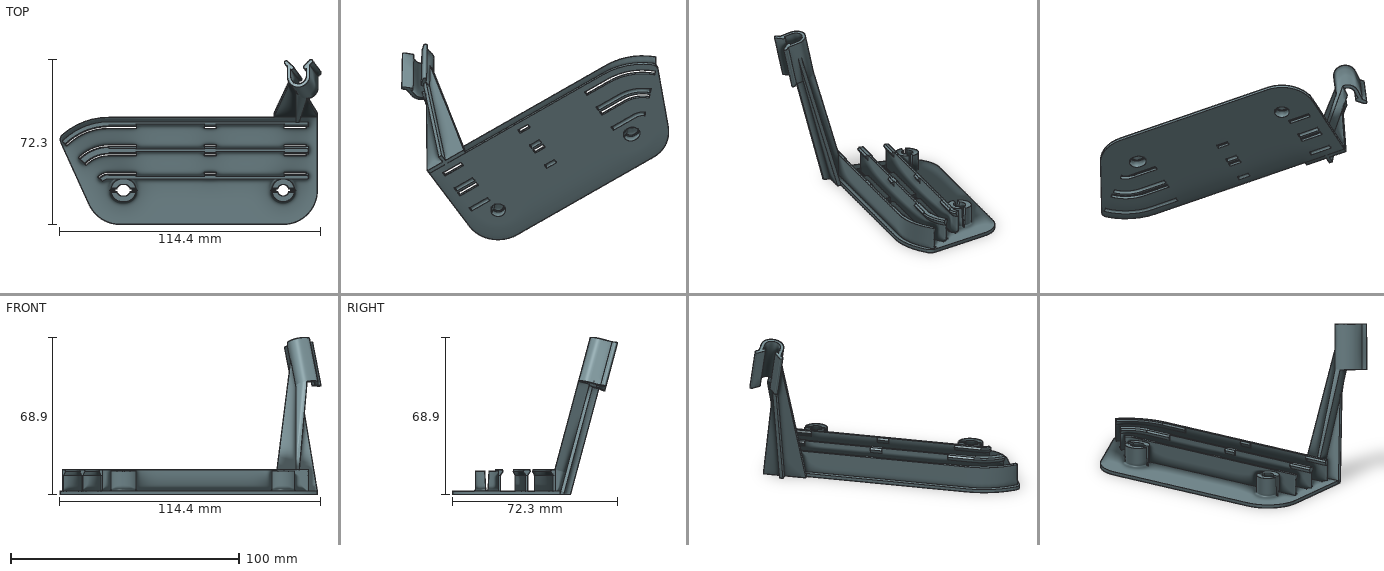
import cadquery as cq
import math

PLATE_THICKNESS = 1.5
PLATE_TOP_Y = 32.0
CORNER_RADIUS = 15.0
LEFT_CORNER_X = -1.5
RIGHT_CORNER_X = 70.0
LEFT_EDGE_ANGLE = 65.5
TIP_RADIUS = 3.0
PLATE_RIGHT_X = RIGHT_CORNER_X + CORNER_RADIUS

WALL_TOP_Z = 11.0
WALL_THICKNESS = 1.0
WALL_OUTER_Y = (30.0, 18.0, 6.0)
WALL_LIP_SIDES = ((-1,), (-1, 1), (1,))
WALL_END_X = 81.0
WALL_END_ROUND = 0.4
BEND_CENTRE = (-6.4, 1.0)
BEND_ANGLE = 45.0

LIP_REACH = 1.1
LIP_BOTTOM_Z = 8.5
LIP_EDGE_Z = 10.2
LIP_TOP_REACH = 0.4
BEND_LIP_TOP_REACH = 0.8
LIP_MIDDLE_X = 38.0
LIP_MIDDLE_LENGTH = 5.2
LIP_END_GAP = 32.4
OPENING_REACH = 1.85
OPENING_END_X = 80.0

BOSS_SPACING = 70.0
BOSS_RADIUS = 5.0
BOSS_TOP_Z = 10.3
BOSS_FILLET = 1.0
BORE_RADIUS = 2.5
COUNTERBORE_RADIUS = 3.2
COUNTERBORE_DEPTH = 4.0
LEFT_BOSS_STRETCH = 1.0
NOTCH_TOP_WIDTH = 1.8
NOTCH_BOTTOM_WIDTH = 0.9
NOTCH_FLOOR_Z = 1.6

LEAN = math.radians(15.0)
BLADE_THICKNESS = 1.6
BLADE_LEFT_X = 66.0
BLADE_TAPER_START = 1.5
BLADE_TOP = 64.0
BLADE_TOP_LEFT_X = 73.6
BLADE_RIGHT_TOP_X = 77.2
RIB_LEFT_X = 75.5
RIB_THICKNESS = 1.5
BACK_RIB_DEPTH = 4.5
RIB_BLEND_START = 10.0

CLIP_TILT = math.radians(10.7)
CLIP_RADIUS = 5.0
CLIP_WALL = 1.5
CLIP_BASE = 50.1
CLIP_LENGTH = 20.0
CLIP_SIDE_HEIGHT = 5.0
LIP_BAR_THICKNESS = 1.6
LIP_BAR_OFFSET = 0.65
LIP_BAR_INNER = 4.1
LIP_BAR_OUTER = 9.25

RIB_RIGHT_X = RIB_LEFT_X + RIB_THICKNESS
CLIP_BASE_X = RIB_LEFT_X + CLIP_RADIUS * math.cos(CLIP_TILT)
OUTER_LIP_START_X = LIP_MIDDLE_X + LIP_END_GAP
LEFT_LIP_END_X = LIP_MIDDLE_X - LIP_END_GAP
MIDDLE_LIP_START_X = LIP_MIDDLE_X - LIP_MIDDLE_LENGTH / 2


def polar(centre, radius, degrees):
    angle = math.radians(degrees)
    return (centre[0] + radius * math.cos(angle), centre[1] + radius * math.sin(angle))


def post_point(x, height, forward=0.0):
    """Point at a height up the leaning blade and a distance in front of its front face."""
    y = PLATE_TOP_Y + height * math.sin(LEAN) - forward * math.cos(LEAN)
    z = height * math.cos(LEAN) + forward * math.sin(LEAN)
    return (x, y, z)


def plate():
    top_radius = PLATE_TOP_Y - BEND_CENTRE[1]
    slope = math.radians(LEFT_EDGE_ANGLE)
    corner = (LEFT_CORNER_X, 0.0)
    edge_normal = 270.0 - LEFT_EDGE_ANGLE
    edge_start = polar(corner, CORNER_RADIUS, edge_normal)
    corner_middle = polar(corner, CORNER_RADIUS, (edge_normal + 270.0) / 2)
    direction = (-math.cos(slope), math.sin(slope))
    to_start = (edge_start[0] - BEND_CENTRE[0], edge_start[1] - BEND_CENTRE[1])
    along = to_start[0] * direction[0] + to_start[1] * direction[1]
    distance_squared = to_start[0] ** 2 + to_start[1] ** 2
    length = -along + math.sqrt(along ** 2 - distance_squared + top_radius ** 2)
    tip = (edge_start[0] + length * direction[0], edge_start[1] + length * direction[1])
    tip_angle = math.degrees(math.atan2(tip[1] - BEND_CENTRE[1], tip[0] - BEND_CENTRE[0]))
    right_corner = (RIGHT_CORNER_X, 0.0)
    outline = (
        cq.Workplane("XY")
        .moveTo(LEFT_CORNER_X, -CORNER_RADIUS)
        .lineTo(RIGHT_CORNER_X, -CORNER_RADIUS)
        .threePointArc(polar(right_corner, CORNER_RADIUS, -45.0), (PLATE_RIGHT_X, 0.0))
        .lineTo(PLATE_RIGHT_X, PLATE_TOP_Y)
        .lineTo(BEND_CENTRE[0], PLATE_TOP_Y)
        .threePointArc(polar(BEND_CENTRE, top_radius, (90.0 + tip_angle) / 2), tip)
        .lineTo(*edge_start)
        .threePointArc(corner_middle, (LEFT_CORNER_X, -CORNER_RADIUS))
        .close()
    )
    body = outline.extrude(PLATE_THICKNESS)
    near_tip = cq.selectors.NearestToPointSelector((tip[0], tip[1], PLATE_THICKNESS / 2))
    return body.edges("|Z").edges(near_tip).fillet(TIP_RADIUS)


def bent_strip(y_low, y_high, end_x, height):
    """Strip on the ground between two Y values: straight, then bent forward round BEND_CENTRE."""
    inner = y_low - BEND_CENTRE[1]
    outer = y_high - BEND_CENTRE[1]
    end_angle = 90.0 + BEND_ANGLE
    mid_angle = 90.0 + BEND_ANGLE / 2
    return (
        cq.Workplane("XY")
        .moveTo(end_x, y_low)
        .lineTo(end_x, y_high)
        .lineTo(BEND_CENTRE[0], y_high)
        .threePointArc(polar(BEND_CENTRE, outer, mid_angle), polar(BEND_CENTRE, outer, end_angle))
        .lineTo(*polar(BEND_CENTRE, inner, end_angle))
        .threePointArc(polar(BEND_CENTRE, inner, mid_angle), (BEND_CENTRE[0], y_low))
        .close()
        .extrude(height)
    )


def wall(outer_y):
    strip = bent_strip(outer_y - WALL_THICKNESS, outer_y, WALL_END_X, WALL_TOP_Z)
    return strip.edges("|Z").edges("<X or >X").fillet(WALL_END_ROUND)


def lip_profile(face_y, side, x, top_reach=LIP_TOP_REACH):
    """Section of a lip, starting in the middle of the wall it grows from."""
    root_y = face_y - side * WALL_THICKNESS / 2
    return (
        cq.Workplane("YZ", origin=(x, 0, 0))
        .moveTo(root_y, LIP_BOTTOM_Z)
        .lineTo(face_y, LIP_BOTTOM_Z)
        .lineTo(face_y + side * LIP_REACH, LIP_EDGE_Z)
        .lineTo(face_y + side * top_reach, WALL_TOP_Z)
        .lineTo(root_y, WALL_TOP_Z)
        .close()
    )


def lips(face_y, side):
    left = lip_profile(face_y, side, BEND_CENTRE[0]).extrude(LEFT_LIP_END_X - BEND_CENTRE[0])
    bend = lip_profile(face_y, side, BEND_CENTRE[0], BEND_LIP_TOP_REACH).revolve(
        BEND_ANGLE, (BEND_CENTRE[1], 0, 0), (BEND_CENTRE[1], 1, 0)
    )
    middle = lip_profile(face_y, side, MIDDLE_LIP_START_X).extrude(LIP_MIDDLE_LENGTH)
    right = lip_profile(face_y, side, OUTER_LIP_START_X).extrude(WALL_END_X - OUTER_LIP_START_X)
    return left.union(bend).union(middle).union(right)


def openings(face_y, side):
    """Openings through the plate below the lips on one side of a wall."""
    far_y = face_y + side * OPENING_REACH
    y_low = min(face_y, far_y)
    y_high = max(face_y, far_y)
    cutter = bent_strip(y_low, y_high, LEFT_LIP_END_X, PLATE_THICKNESS)
    spans = (
        (MIDDLE_LIP_START_X, MIDDLE_LIP_START_X + LIP_MIDDLE_LENGTH),
        (OUTER_LIP_START_X, OPENING_END_X),
    )
    for start, end in spans:
        block = cq.Workplane("XY").box(
            end - start, OPENING_REACH, PLATE_THICKNESS, centered=False
        )
        cutter = cutter.union(block.translate((start, y_low, 0)))
    return cutter


def round_section(x, stretch, radius):
    """Circle on the boss axis, pulled apart into a slot along X by the stretch."""
    plane = cq.Workplane("XY", origin=(x, 0, 0))
    if stretch > 0:
        return plane.slot2D(2 * radius + stretch, 2 * radius)
    return plane.circle(radius)


def boss(x, stretch):
    body = round_section(x, stretch, BOSS_RADIUS).extrude(BOSS_TOP_Z)
    foot = round_section(x, stretch, BOSS_RADIUS + 2 * BOSS_FILLET).extrude(PLATE_THICKNESS)
    reach = BOSS_RADIUS + BOSS_FILLET
    joint = cq.selectors.BoxSelector(
        (x - reach - stretch, -reach, PLATE_THICKNESS / 2),
        (x + reach + stretch, reach, BOSS_TOP_Z / 2),
        boundingbox=True,
    )
    return foot.union(body).edges(joint).fillet(BOSS_FILLET)


def boss_cutter(x, stretch):
    """Stepped bore, and a tapered notch across the boss with a V-shaped floor."""
    bore = round_section(x, stretch, BORE_RADIUS).extrude(BOSS_TOP_Z)
    counterbore = round_section(x, stretch, COUNTERBORE_RADIUS).extrude(COUNTERBORE_DEPTH)
    half_length = BOSS_RADIUS + BOSS_FILLET + stretch
    floor_half_width = NOTCH_BOTTOM_WIDTH / 2
    floor_edge_z = NOTCH_FLOOR_Z + floor_half_width
    notch = (
        cq.Workplane("YZ", origin=(x - half_length, 0, 0))
        .moveTo(0, NOTCH_FLOOR_Z)
        .lineTo(floor_half_width, floor_edge_z)
        .lineTo(NOTCH_TOP_WIDTH / 2, BOSS_TOP_Z)
        .lineTo(-NOTCH_TOP_WIDTH / 2, BOSS_TOP_Z)
        .lineTo(-floor_half_width, floor_edge_z)
        .close()
        .extrude(2 * half_length)
    )
    return bore.union(counterbore).union(notch)


CLIP_PLANE = cq.Plane(
    origin=post_point(CLIP_BASE_X, CLIP_BASE),
    xDir=(
        math.cos(CLIP_TILT),
        math.sin(CLIP_TILT) * math.sin(LEAN),
        math.sin(CLIP_TILT) * math.cos(LEAN),
    ),
    normal=(
        -math.sin(CLIP_TILT),
        math.cos(CLIP_TILT) * math.sin(LEAN),
        math.cos(CLIP_TILT) * math.cos(LEAN),
    ),
)


def u_shape(radius, height):
    """Half disc towards the front with straight sides running back."""
    return (
        cq.Workplane(CLIP_PLANE)
        .moveTo(-radius, height)
        .lineTo(-radius, 0)
        .threePointArc((0, -radius), (radius, 0))
        .lineTo(radius, height)
        .close()
        .extrude(CLIP_LENGTH)
    )


def clip_bore():
    return u_shape(CLIP_RADIUS - CLIP_WALL, 2 * CLIP_RADIUS)


def clip():
    shell = u_shape(CLIP_RADIUS, CLIP_SIDE_HEIGHT).cut(clip_bore())
    bar_length = LIP_BAR_OUTER - LIP_BAR_INNER
    for side in (-1, 1):
        bar = (
            cq.Workplane(CLIP_PLANE)
            .transformed(rotate=(0, 0, 90 - side * 45))
            .center(LIP_BAR_INNER + bar_length / 2, side * LIP_BAR_OFFSET)
            .slot2D(bar_length, LIP_BAR_THICKNESS)
            .extrude(CLIP_LENGTH)
        )
        shell = shell.union(bar)
    return shell


def blade():
    front = cq.Plane(
        origin=post_point(0, 0), xDir=(1, 0, 0), normal=(0, -math.cos(LEAN), math.sin(LEAN))
    )
    inner_left_x = BLADE_TOP_LEFT_X + CLIP_WALL
    outline = [
        (BLADE_LEFT_X, -BLADE_TAPER_START),
        (BLADE_LEFT_X, BLADE_TAPER_START),
        (BLADE_TOP_LEFT_X, BLADE_TOP),
        (inner_left_x, BLADE_TOP),
        (BLADE_RIGHT_TOP_X, CLIP_BASE),
        (PLATE_RIGHT_X, BLADE_TAPER_START),
        (PLATE_RIGHT_X, -BLADE_TAPER_START),
    ]
    return cq.Workplane(front).polyline(outline).close().extrude(-BLADE_THICKNESS)


def web():
    """Upright rib of constant thickness: behind the blade, and in front of it up to the blend."""
    back_top = CLIP_BASE - (CLIP_BASE_X - RIB_LEFT_X) * math.tan(CLIP_TILT)
    outline = [
        (WALL_OUTER_Y[0] - WALL_THICKNESS / 2, 0.0),
        (WALL_OUTER_Y[0] - WALL_THICKNESS / 2, WALL_TOP_Z),
        post_point(0, RIB_BLEND_START, CLIP_RADIUS)[1:],
        post_point(0, RIB_BLEND_START)[1:],
        post_point(0, back_top)[1:],
        post_point(0, back_top, -BACK_RIB_DEPTH)[1:],
        post_point(0, BLADE_TAPER_START, -BACK_RIB_DEPTH)[1:],
        (post_point(0, BLADE_TAPER_START, -BACK_RIB_DEPTH)[1], 0.0),
    ]
    return (
        cq.Workplane("YZ", origin=(RIB_LEFT_X, 0, 0)).polyline(outline).close().extrude(RIB_THICKNESS)
    )


def pyramid(apex, base_wire):
    tip = cq.Vertex.makeVertex(*apex)
    return cq.Workplane(cq.occ_impl.shapes.loft(tip, base_wire, cap=True, ruled=True))


def front_rib_blend():
    """Front rib widening from its full-depth foot to a quarter of the clip's outer circle."""
    foot_back_left = post_point(RIB_LEFT_X, RIB_BLEND_START)
    foot_back_right = post_point(RIB_RIGHT_X, RIB_BLEND_START)
    foot_front_left = post_point(RIB_LEFT_X, RIB_BLEND_START, CLIP_RADIUS)
    foot_front_right = post_point(RIB_RIGHT_X, RIB_BLEND_START, CLIP_RADIUS)
    clip_axis = CLIP_PLANE.toWorldCoords((0, 0)).toTuple()
    clip_left = CLIP_PLANE.toWorldCoords((-CLIP_RADIUS, 0)).toTuple()
    clip_front = CLIP_PLANE.toWorldCoords((0, -CLIP_RADIUS)).toTuple()
    quarter = (
        cq.Workplane(CLIP_PLANE)
        .moveTo(-CLIP_RADIUS, 0)
        .threePointArc(polar((0, 0), CLIP_RADIUS, 225.0), (0, -CLIP_RADIUS))
        .lineTo(0, 0)
        .close()
        .val()
    )
    back = [foot_back_left, foot_back_right, clip_axis, clip_left]
    right = [foot_back_right, foot_front_right, clip_front, clip_axis]
    blend = pyramid(foot_front_left, quarter)
    for corners in (back, right):
        vectors = [cq.Vector(*corner) for corner in corners]
        blend = blend.union(pyramid(foot_front_left, cq.Wire.makePolygon(vectors, close=True)))
    return blend


def post():
    body = blade().cut(clip_bore()).union(web()).union(front_rib_blend()).union(clip())
    height = CLIP_BASE + 2 * CLIP_LENGTH
    above_ground = cq.Workplane("XY").box(
        4 * PLATE_RIGHT_X, 4 * PLATE_RIGHT_X, height, centered=(True, True, False)
    )
    return body.intersect(above_ground)


def wall_faces(outer_y, sides):
    """Y of the wall face on each side that carries lips, with the direction it faces."""
    return [(outer_y if side > 0 else outer_y - WALL_THICKNESS, side) for side in sides]


WALLS = list(zip(WALL_OUTER_Y, WALL_LIP_SIDES))
BOSSES = ((0.0, LEFT_BOSS_STRETCH), (BOSS_SPACING, 0.0))

result = plate()
for boss_x, boss_stretch in BOSSES:
    result = result.union(boss(boss_x, boss_stretch))
for wall_y, lip_sides in WALLS:
    for lip_face_y, lip_side in wall_faces(wall_y, lip_sides):
        result = result.cut(openings(lip_face_y, lip_side))
for wall_y, lip_sides in WALLS:
    result = result.union(wall(wall_y))
    for lip_face_y, lip_side in wall_faces(wall_y, lip_sides):
        result = result.union(lips(lip_face_y, lip_side))
result = result.union(post())
for boss_x, boss_stretch in BOSSES:
    result = result.cut(boss_cutter(boss_x, boss_stretch))